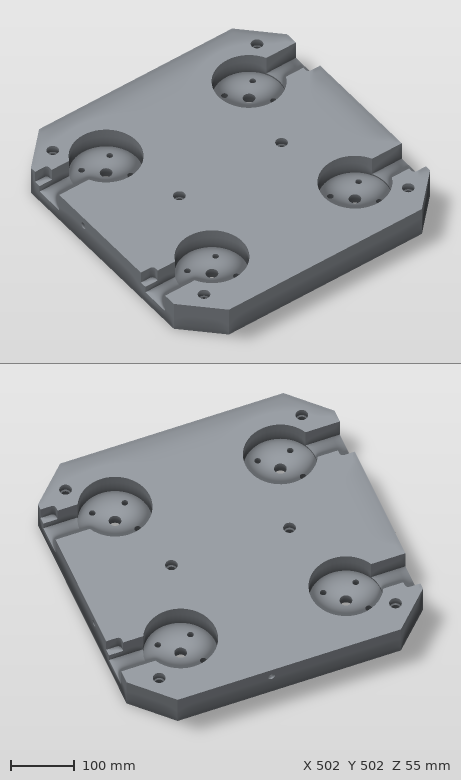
import cadquery as cq

PLATE_SIDE = 502.0
PLATE_THICKNESS = 55.0
CORNER_CHAMFER = 62.0
HALF_SIDE = PLATE_SIDE / 2

POCKET_OFFSET = 140.0
POCKET_DIAMETER = 118.0
POCKET_DEPTH = 37.0
POCKET_BORE_DIAMETER = 20.0
BOLT_SPACING = 55.15
BOLT_DIAMETER = 10.5

CHANNEL_WIDTH = 52.0
CHANNEL_DEPTH = 34.0

NOTCH_WIDTH = 12.0
NOTCH_LENGTH = 24.0
NOTCH_DEPTH = 22.0
NOTCH_CORNER_RADIUS = 6.0

MOUNT_DIAMETER = 13.5
MOUNT_BORE_DIAMETER = 20.0
MOUNT_BORE_DEPTH = 13.0
CORNER_MOUNT_OFFSET = 200.0
MIDDLE_MOUNT_OFFSET = 100.0

CROSS_HOLE_DIAMETER = 8.0
CROSS_MOUTH_DIAMETER = 11.5
CROSS_MOUTH_DEPTH = 12.0
CROSS_HOLE_BELOW_TOP = 17.0
Y_HOLE_X = -50.0
X_HOLE_Y = 30.0

SIGNS = (-1, 1)
POCKET_CENTERS = [(sx * POCKET_OFFSET, sy * POCKET_OFFSET) for sx in SIGNS for sy in SIGNS]


def make_plate():
    """Square plate with its four vertical corners cut off, bottom at Z = 0."""
    plate = cq.Workplane("XY").box(PLATE_SIDE, PLATE_SIDE, PLATE_THICKNESS, centered=(True, True, False))
    return plate.edges("|Z").chamfer(CORNER_CHAMFER)


def vertical_cylinders(centers, diameter, depth):
    """Cylinders reaching down from the top face."""
    top = cq.Workplane("XY", origin=(0, 0, PLATE_THICKNESS))
    return top.pushPoints(centers).circle(diameter / 2).extrude(-depth)


def top_block(x_min, x_max, y_min, y_max, depth):
    """Rectangular block reaching down from the top face."""
    block = cq.Workplane("XY").box(x_max - x_min, y_max - y_min, depth, centered=False)
    return block.translate((x_min, y_min, PLATE_THICKNESS - depth))


def make_channel():
    """Channel and notch of the pocket on the +Y side, centred on X = 0."""
    half_width = CHANNEL_WIDTH / 2
    channel = top_block(-half_width, half_width, POCKET_OFFSET, HALF_SIDE, CHANNEL_DEPTH)
    notch = top_block(0, half_width + NOTCH_WIDTH, HALF_SIDE - NOTCH_LENGTH, HALF_SIDE, NOTCH_DEPTH)
    notch = notch.edges("|Z and >X and <Y").fillet(NOTCH_CORNER_RADIUS)
    return channel.union(notch)


def cut_pockets(body):
    bolt_offset = BOLT_SPACING / 2
    bolt_centers = [
        (x + sx * bolt_offset, y + sy * bolt_offset)
        for x, y in POCKET_CENTERS
        for sx in SIGNS
        for sy in SIGNS
    ]
    body = body.cut(vertical_cylinders(POCKET_CENTERS, POCKET_DIAMETER, POCKET_DEPTH))
    body = body.cut(vertical_cylinders(POCKET_CENTERS, POCKET_BORE_DIAMETER, PLATE_THICKNESS))
    return body.cut(vertical_cylinders(bolt_centers, BOLT_DIAMETER, PLATE_THICKNESS))


def cut_channels(body):
    """Each +Y channel has a -Y twin turned half a revolution about Z."""
    for sx in SIGNS:
        channel = make_channel().translate((sx * POCKET_OFFSET, 0, 0))
        body = body.cut(channel)
        body = body.cut(channel.rotate((0, 0, 0), (0, 0, 1), 180))
    return body


def cut_mounting_holes(body):
    centers = [(sx * CORNER_MOUNT_OFFSET, sy * CORNER_MOUNT_OFFSET) for sx in SIGNS for sy in SIGNS]
    centers += [(0, sy * MIDDLE_MOUNT_OFFSET) for sy in SIGNS]
    body = body.cut(vertical_cylinders(centers, MOUNT_DIAMETER, PLATE_THICKNESS))
    return body.cut(vertical_cylinders(centers, MOUNT_BORE_DIAMETER, MOUNT_BORE_DEPTH))


def cut_cross_holes(body):
    height = PLATE_THICKNESS - CROSS_HOLE_BELOW_TOP
    front_mouth = cq.Workplane("XZ", origin=(Y_HOLE_X, -HALF_SIDE, height))
    back_mouth = cq.Workplane("XZ", origin=(Y_HOLE_X, HALF_SIDE, height))
    left_mouth = cq.Workplane("YZ", origin=(-HALF_SIDE, X_HOLE_Y, height))
    body = body.cut(back_mouth.circle(CROSS_HOLE_DIAMETER / 2).extrude(PLATE_SIDE))
    body = body.cut(left_mouth.circle(CROSS_HOLE_DIAMETER / 2).extrude(HALF_SIDE + Y_HOLE_X))
    body = body.cut(front_mouth.circle(CROSS_MOUTH_DIAMETER / 2).extrude(-CROSS_MOUTH_DEPTH))
    body = body.cut(back_mouth.circle(CROSS_MOUTH_DIAMETER / 2).extrude(CROSS_MOUTH_DEPTH))
    return body.cut(left_mouth.circle(CROSS_MOUTH_DIAMETER / 2).extrude(CROSS_MOUTH_DEPTH))


result = make_plate()
result = cut_pockets(result)
result = cut_channels(result)
result = cut_mounting_holes(result)
result = cut_cross_holes(result)